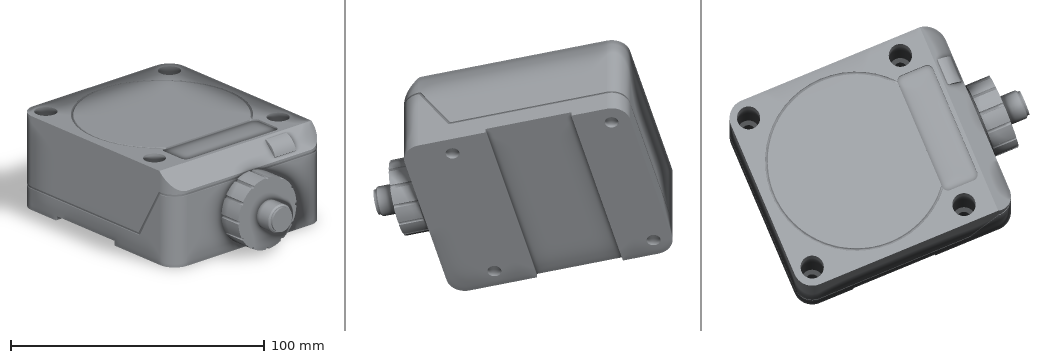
import cadquery as cq
import math

LENGTH = 92.0
WIDTH = 80.0
HEIGHT = 40.0
CORNER_RADIUS = 7.5
TOP_CHAMFER = 8.0

GROOVE_DEPTH = 0.5
GROOVE_HEIGHT = 1.0
GROOVE_LOW_Z = 9.0
GROOVE_RISE = 21.0
GROOVE_BEND_X = 72.1
GROOVE_ANGLE = 60.0

RAIL_START_X = 22.0
RAIL_WIDTH = 35.0
RAIL_DEPTH = 2.0

HOLE_PITCH = 65.0
HOLE_DIAMETER = 5.5
COUNTERBORE_DIAMETER = 9.2
COUNTERBORE_DEPTH = HEIGHT - GROOVE_LOW_Z - GROOVE_HEIGHT

FACE_CENTER_X = WIDTH / 2
FACE_GROOVE_RADIUS = 35.5
FACE_GROOVE_DIAMETER = 1.02
RECESS_START_X = 67.3
RECESS_LENGTH = 15.0
RECESS_WIDTH = 50.0
RECESS_DEPTH = 1.0
RECESS_CORNER_RADIUS = 2.5

WINDOW_LENGTH = 8.2
WINDOW_WIDTH = 11.0
WINDOW_CENTER_Y = 20.0
WINDOW_RIM_HEIGHT = 0.45
WINDOW_CROWN_HEIGHT = 1.5
WINDOW_EMBED = 1.0

CONNECTOR_Z = 17.0
COLLAR_DIAMETER = 27.0
COLLAR_LENGTH = 1.0
NUT_DIAMETER = 30.5
NUT_LENGTH = 10.1
NUT_FLUTES = 12
FLUTE_DIAMETER = 1.4
NECK_DIAMETER = 11.2
NECK_LENGTH = 0.5
THREAD_DIAMETER = 12.0
THREAD_LENGTH = 7.4
THREAD_CHAMFER = 0.6
TIP_DIAMETER = 10.2
TIP_LENGTH = 1.0


def rounded_block(inset):
    """Full-height housing block with its side walls moved inward by the inset."""
    return (
        cq.Workplane("XY")
        .center(LENGTH / 2, 0)
        .rect(LENGTH - 2 * inset, WIDTH - 2 * inset)
        .extrude(HEIGHT)
        .edges("|Z")
        .fillet(CORNER_RADIUS - inset)
    )


def make_housing():
    sloping_edge_cut = (
        cq.Workplane("XZ")
        .moveTo(LENGTH - TOP_CHAMFER, HEIGHT)
        .lineTo(LENGTH, HEIGHT)
        .lineTo(LENGTH, HEIGHT - TOP_CHAMFER)
        .close()
        .extrude(WIDTH / 2, both=True)
    )
    rail_slot = cq.Workplane("XY").box(RAIL_WIDTH, WIDTH, RAIL_DEPTH, centered=(False, True, False))
    rail_slot = rail_slot.translate((RAIL_START_X, 0, 0))
    return rounded_block(0).cut(sloping_edge_cut).cut(rail_slot)


def make_parting_groove():
    """Band of constant width that climbs towards the connector end."""
    angle = math.radians(GROOVE_ANGLE)
    run = GROOVE_RISE / math.tan(angle)
    bend_shift = GROOVE_HEIGHT * math.tan(angle / 2)
    low_top_z = GROOVE_LOW_Z + GROOVE_HEIGHT
    high_bend_x = GROOVE_BEND_X + run
    band = (
        cq.Workplane("XZ")
        .moveTo(0, GROOVE_LOW_Z)
        .lineTo(GROOVE_BEND_X, GROOVE_LOW_Z)
        .lineTo(high_bend_x, GROOVE_LOW_Z + GROOVE_RISE)
        .lineTo(LENGTH, GROOVE_LOW_Z + GROOVE_RISE)
        .lineTo(LENGTH, low_top_z + GROOVE_RISE)
        .lineTo(high_bend_x - bend_shift, low_top_z + GROOVE_RISE)
        .lineTo(GROOVE_BEND_X - bend_shift, low_top_z)
        .lineTo(0, low_top_z)
        .close()
        .extrude(WIDTH / 2, both=True)
    )
    return band.cut(rounded_block(GROOVE_DEPTH))


def cut_mounting_holes(body):
    hole_center_x = CORNER_RADIUS + HOLE_PITCH / 2
    return (
        body.faces(">Z")
        .workplane(origin=(hole_center_x, 0, HEIGHT))
        .rect(HOLE_PITCH, HOLE_PITCH, forConstruction=True)
        .vertices()
        .cboreHole(HOLE_DIAMETER, COUNTERBORE_DIAMETER, COUNTERBORE_DEPTH)
    )


def make_face_groove():
    """Round-bottomed ring groove that frames the sensing face."""
    return (
        cq.Workplane("XZ")
        .center(FACE_GROOVE_RADIUS, HEIGHT)
        .circle(FACE_GROOVE_DIAMETER / 2)
        .revolve(360, (-FACE_GROOVE_RADIUS, 0, 0), (-FACE_GROOVE_RADIUS, 1, 0))
        .translate((FACE_CENTER_X, 0, 0))
    )


def make_label_recess():
    return (
        cq.Workplane("XY")
        .box(RECESS_LENGTH, RECESS_WIDTH, RECESS_DEPTH, centered=(False, True, False))
        .edges("|Z")
        .fillet(RECESS_CORNER_RADIUS)
        .translate((RECESS_START_X, 0, HEIGHT - RECESS_DEPTH))
    )


def make_window():
    """Domed strip standing square to the middle of the sloping edge."""
    slope_plane = cq.Plane(
        origin=(LENGTH - TOP_CHAMFER / 2, WINDOW_CENTER_Y, HEIGHT - TOP_CHAMFER / 2),
        xDir=(1, 0, -1),
        normal=(0, -1, 0),
    )
    half_length = WINDOW_LENGTH / 2
    return (
        cq.Workplane(slope_plane)
        .moveTo(-half_length, -WINDOW_EMBED)
        .lineTo(-half_length, WINDOW_RIM_HEIGHT)
        .threePointArc((0, WINDOW_CROWN_HEIGHT), (half_length, WINDOW_RIM_HEIGHT))
        .lineTo(half_length, -WINDOW_EMBED)
        .close()
        .extrude(WINDOW_WIDTH / 2, both=True)
    )


def x_cylinder(start_x, length, diameter):
    plane = cq.Plane(origin=(start_x, 0, CONNECTOR_Z), xDir=(0, 1, 0), normal=(1, 0, 0))
    return cq.Workplane(plane).circle(diameter / 2).extrude(length)


def make_nut(start_x):
    """Union nut with evenly spaced round flutes along its rim."""
    nut = x_cylinder(start_x, NUT_LENGTH, NUT_DIAMETER)
    flute = x_cylinder(start_x, NUT_LENGTH, FLUTE_DIAMETER).translate((0, NUT_DIAMETER / 2, 0))
    axis_start = (0, 0, CONNECTOR_Z)
    axis_end = (1, 0, CONNECTOR_Z)
    for index in range(NUT_FLUTES):
        nut = nut.cut(flute.rotate(axis_start, axis_end, index * 360 / NUT_FLUTES))
    return nut


def make_connector():
    nut_x = LENGTH + COLLAR_LENGTH
    neck_x = nut_x + NUT_LENGTH
    thread_x = neck_x + NECK_LENGTH
    tip_x = thread_x + THREAD_LENGTH
    collar = x_cylinder(LENGTH, COLLAR_LENGTH, COLLAR_DIAMETER)
    neck = x_cylinder(neck_x, NECK_LENGTH, NECK_DIAMETER)
    thread = x_cylinder(thread_x, THREAD_LENGTH, THREAD_DIAMETER).faces(">X").chamfer(THREAD_CHAMFER)
    tip = x_cylinder(tip_x, TIP_LENGTH, TIP_DIAMETER)
    return collar.union(make_nut(nut_x)).union(neck).union(thread).union(tip)


housing = make_housing().cut(make_parting_groove())
housing = cut_mounting_holes(housing)
housing = housing.cut(make_face_groove()).cut(make_label_recess())
result = housing.union(make_window()).union(make_connector())